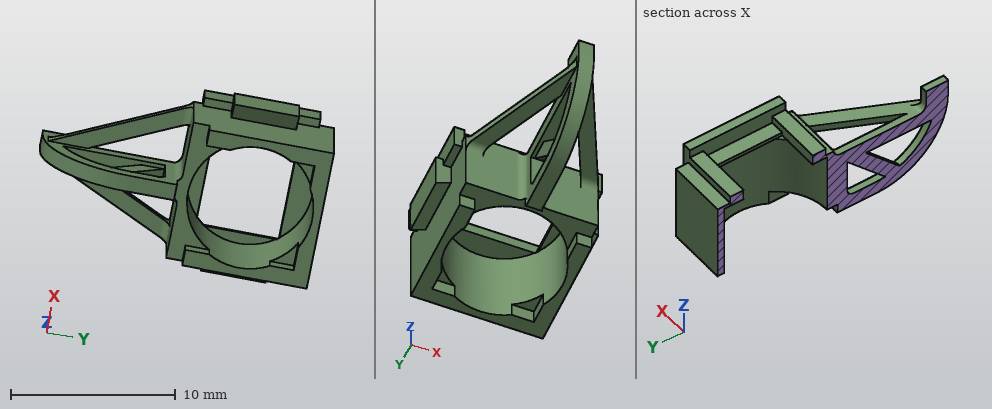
import cadquery as cq
import math

body_side = 8.7
body_height = 5.68
half_body = body_side / 2
bore_diameter = 7.68
plate_thickness = 0.26
window_width = 6.3
window_length = 5.15
step_size = 1.0
recess_side = body_side - 2 * step_size

total_height = 6.83
rail_length = 7.16
rail_center_y = -0.17
rail_outer_x = 4.86
rail_inner_x = 4.2
rail_bottom = 5.14
bar_top = 6.21
bar_width = (rail_length - window_length) / 2

total_width = 10.68
catch_length = 4.0
catch_outer_bottom = 3.19
catch_inner_bottom = 3.7

front_y = -half_body
tip_y = front_y - 8.55
web_width = 1.0
half_web = web_width / 2
fillet = 0.5
arm_top = body_height - fillet
arm_bottom = 4.65
arm_root_width = 1.14
arm_end_y = tip_y + 0.33
web_bottom = 0.31
web_clearance = 0.26
web_outer_radius = body_height - web_bottom
rim_width = 1.0
opening_rear_y = front_y - 2 * fillet
opening_top = 4.15
opening_corner = 0.48
brace_width = 1.0
brace_thickness = half_web
tip_length = 1.69


def box(x_range, y_range, z_range):
    """Box between the given limits on each axis."""
    size = [high - low for low, high in (x_range, y_range, z_range)]
    corner = (x_range[0], y_range[0], z_range[0])
    return cq.Workplane("XY").box(*size, centered=False).translate(corner)


def side_profile(y, z):
    """Start an outline in the YZ plane."""
    return cq.Workplane("YZ").moveTo(y, z)


def concave_mid(center_a, center_b, sign_a, sign_b):
    """Middle point of a fillet quarter arc lying in the given direction from its center."""
    reach = fillet * math.sqrt(0.5)
    return (center_a + sign_a * reach, center_b + sign_b * reach)


def make_housing():
    housing = cq.Workplane("XY").box(body_side, body_side, body_height, centered=(True, True, False))
    bore = cq.Workplane("XY").circle(bore_diameter / 2).extrude(body_height - plate_thickness)
    window = (
        cq.Workplane("XY")
        .workplane(offset=body_height - plate_thickness)
        .center(0, rail_center_y)
        .rect(window_width, window_length)
        .extrude(plate_thickness)
    )
    recess = cq.Workplane("XY").rect(recess_side, recess_side).extrude(step_size)
    step = box((-half_body, half_body), (front_y, front_y + step_size), (0, step_size))
    return housing.cut(bore).cut(window).cut(recess).cut(step)


def make_rails():
    rear = rail_center_y + rail_length / 2
    front = rail_center_y - rail_length / 2
    rail = box((rail_inner_x, rail_outer_x), (front, rear), (rail_bottom, total_height))
    rails = rail.union(rail.mirror("YZ"))
    for low in (front, rear - bar_width):
        bar = box((-rail_inner_x, rail_inner_x), (low, low + bar_width), (body_height, bar_top))
        rails = rails.union(bar)
    return rails


def make_catches():
    catch = (
        cq.Workplane("XZ")
        .moveTo(half_body, body_height)
        .lineTo(total_width / 2, body_height)
        .lineTo(total_width / 2, catch_outer_bottom)
        .lineTo(half_body, catch_inner_bottom)
        .close()
        .extrude(catch_length / 2, both=True)
    )
    return catch.union(catch.mirror("YZ"))


def bracket_taper():
    """Tapered plan from the front wall down to the arm ends."""
    return (
        cq.Workplane("XY")
        .polyline([(-half_body, front_y), (-half_web, arm_end_y), (half_web, arm_end_y), (half_body, front_y)])
        .close()
        .extrude(total_height)
    )


def arm_gap():
    """Triangular space left between the two slanted arms."""
    slope = (half_body - half_web) / (front_y - arm_end_y)
    half_gap = half_body - arm_root_width
    return (
        cq.Workplane("XY")
        .polyline([(-half_gap, front_y), (0, front_y - half_gap / slope), (half_gap, front_y)])
        .close()
        .extrude(total_height)
    )


def make_arms():
    arm_section = (
        side_profile(front_y, body_height)
        .threePointArc(concave_mid(front_y - fillet, body_height, 1, -1), (front_y - fillet, arm_top))
        .lineTo(arm_end_y, arm_top)
        .lineTo(arm_end_y, arm_bottom)
        .lineTo(front_y - fillet, arm_bottom)
        .threePointArc(concave_mid(front_y - fillet, arm_bottom - fillet, 1, 1),
                       (front_y, arm_bottom - fillet))
        .close()
        .extrude(half_body, both=True)
    )
    return arm_section.intersect(bracket_taper().cut(arm_gap()))


def make_web():
    arc_y = tip_y + web_outer_radius
    inner_radius = web_outer_radius - rim_width
    diagonal = math.sqrt(0.5)
    outline = (
        side_profile(front_y, body_height)
        .threePointArc(concave_mid(front_y - fillet, body_height, 1, -1), (front_y - fillet, arm_top))
        .lineTo(tip_y + tip_length, arm_top)
        .lineTo(tip_y + tip_length, total_height)
        .lineTo(tip_y, total_height)
        .lineTo(tip_y, body_height)
        .threePointArc((arc_y - web_outer_radius * diagonal, body_height - web_outer_radius * diagonal),
                       (arc_y, web_bottom))
        .lineTo(front_y - web_clearance, web_bottom)
        .lineTo(front_y - web_clearance, step_size)
        .lineTo(front_y, step_size)
        .close()
        .extrude(half_body, both=True)
    )
    plan = (
        cq.Workplane("XY")
        .moveTo(-half_web - fillet, front_y)
        .threePointArc(concave_mid(-half_web - fillet, front_y - fillet, 1, 1),
                       (-half_web, front_y - fillet))
        .lineTo(-half_web, tip_y)
        .lineTo(half_web, tip_y)
        .lineTo(half_web, front_y - fillet)
        .threePointArc(concave_mid(half_web + fillet, front_y - fillet, -1, 1),
                       (half_web + fillet, front_y))
        .close()
        .extrude(total_height)
    )
    top_front_y = arc_y - math.sqrt(inner_radius**2 - (body_height - opening_top)**2)
    inner_bottom = web_bottom + rim_width
    arc_angle = (math.asin((body_height - opening_top) / inner_radius) + math.pi / 2) / 2
    opening = (
        side_profile(opening_rear_y, opening_top)
        .lineTo(top_front_y, opening_top)
        .threePointArc((arc_y - inner_radius * math.cos(arc_angle),
                        body_height - inner_radius * math.sin(arc_angle)), (arc_y, inner_bottom))
        .lineTo(opening_rear_y - opening_corner, inner_bottom)
        .radiusArc((opening_rear_y, inner_bottom + opening_corner), -opening_corner)
        .close()
        .extrude(half_web, both=True)
    )
    brace_run = opening_top - web_bottom
    brace_top_length = brace_width * math.sqrt(2)
    brace = (
        side_profile(opening_rear_y, opening_top)
        .line(-brace_top_length, 0)
        .line(-brace_run, -brace_run)
        .line(brace_top_length, 0)
        .close()
        .extrude(brace_thickness / 2, both=True)
    )
    web = outline.intersect(plan).cut(opening)
    return web.union(brace.intersect(opening))


def make_tip_flare():
    """Mitred concave skirt around the tip block, trimmed to the arms."""
    across = (
        cq.Workplane("XZ")
        .moveTo(-half_web - fillet, arm_top)
        .threePointArc(concave_mid(-half_web - fillet, body_height, 1, -1), (-half_web, body_height))
        .lineTo(half_web, body_height)
        .threePointArc(concave_mid(half_web + fillet, body_height, -1, -1),
                       (half_web + fillet, arm_top))
        .close()
        .extrude(-tip_y)
    )
    rear_y = tip_y + tip_length
    along = (
        side_profile(arm_end_y, arm_top)
        .lineTo(arm_end_y, body_height)
        .lineTo(rear_y, body_height)
        .threePointArc(concave_mid(rear_y + fillet, body_height, -1, -1), (rear_y + fillet, arm_top))
        .close()
        .extrude(half_body, both=True)
    )
    return across.intersect(along).intersect(bracket_taper())


result = make_housing()
for feature in (make_rails(), make_catches(), make_arms(), make_web(), make_tip_flare()):
    result = result.union(feature)